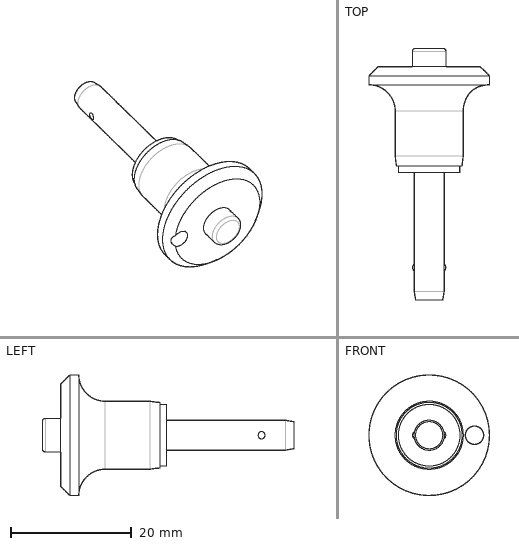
import cadquery as cq


overall_length = 41.7

button_radius = 2.8
button_length = 3.05
button_edge_fillet = 0.5

flange_radius = 10.0
flange_chamfer = 1.5
rim_width = 1.5
body_radius = 5.65
body_length = 7.45
taper_end_radius = 5.45
taper_length = 1.65
collar_radius = 5.1
collar_length = 1.1
flare_radius = flange_radius - body_radius

lanyard_hole_diameter = 3.0
lanyard_hole_offset = 7.5

taper_start_y = collar_length
body_start_y = taper_start_y + taper_length
flare_start_y = body_start_y + body_length
rim_start_y = flare_start_y + flare_radius
chamfer_start_y = rim_start_y + rim_width
flange_face_y = chamfer_start_y + flange_chamfer
button_face_y = flange_face_y + button_length

shank_radius = 2.5
shank_length = overall_length - button_face_y
tip_length = 1.4
tip_radius = 2.25

ball_radius = 0.75
ball_protrusion = 0.25
ball_to_tip = 5.4


def make_handle():
    """Flared flange, body, tapered end and collar as one turned shape."""
    return (
        cq.Workplane("XY")
        .lineTo(collar_radius, 0)
        .lineTo(collar_radius, taper_start_y)
        .lineTo(taper_end_radius, taper_start_y)
        .lineTo(body_radius, body_start_y)
        .lineTo(body_radius, flare_start_y)
        .radiusArc((flange_radius, rim_start_y), flare_radius)
        .lineTo(flange_radius, chamfer_start_y)
        .lineTo(flange_radius - flange_chamfer, flange_face_y)
        .lineTo(0, flange_face_y)
        .close()
        .revolve(360, (0, 0, 0), (0, 1, 0))
    )


def cylinder_along_y(radius, start_y, end_y, x=0):
    """Cylinder parallel to Y, between two axial stations."""
    return cq.Workplane("XY").add(
        cq.Solid.makeCylinder(radius, end_y - start_y, cq.Vector(x, start_y, 0), cq.Vector(0, 1, 0))
    )


def make_button():
    """Push button with a rounded outer edge."""
    button = cylinder_along_y(button_radius, flange_face_y, button_face_y)
    return button.faces(">Y").edges().fillet(button_edge_fillet)


def make_shank():
    """Plain shank with a slightly tapered tip."""
    return (
        cq.Workplane("XY")
        .lineTo(shank_radius, 0)
        .lineTo(shank_radius, tip_length - shank_length)
        .lineTo(tip_radius, -shank_length)
        .lineTo(0, -shank_length)
        .close()
        .revolve(360, (0, 0, 0), (0, 1, 0))
    )


def make_ball(side):
    """Locking ball standing out of the shank on the given X side (+1 or -1)."""
    center_x = side * (shank_radius + ball_protrusion - ball_radius)
    return cq.Workplane("XY").sphere(ball_radius).translate((center_x, ball_to_tip - shank_length, 0))


result = make_handle().union(make_button()).union(make_shank())
for ball_side in (-1, 1):
    result = result.union(make_ball(ball_side))

lanyard_hole = cylinder_along_y(lanyard_hole_diameter / 2, 0, flange_face_y, lanyard_hole_offset)
result = result.cut(lanyard_hole)